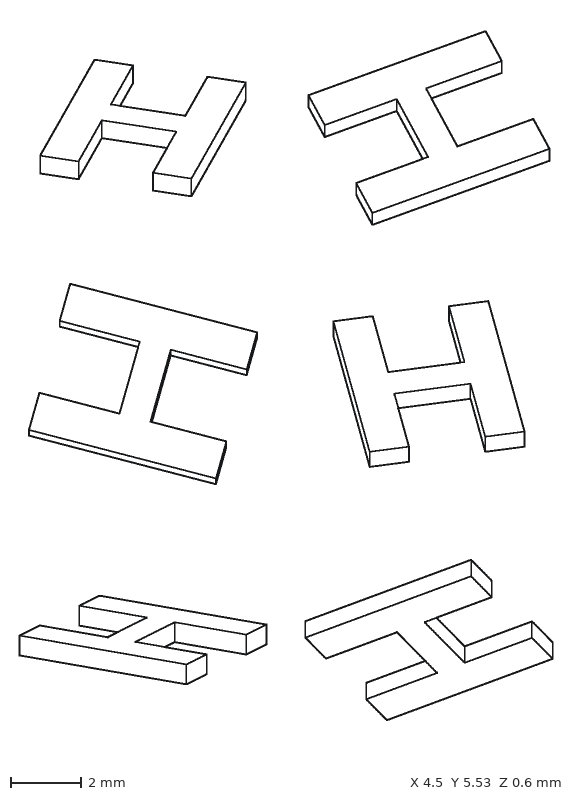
import cadquery as cq

width = 4.5
length = 5.53
thickness = 0.6

leg_width = 1.145
crossbar_width = 0.92
lower_notch_depth = 2.365

notch_width = width - 2 * leg_width
upper_notch_depth = length - lower_notch_depth - crossbar_width


def notch(depth, start_y):
    """Rectangular opening between the legs, starting at start_y and running toward +Y."""
    return cq.Workplane("XY").box(
        notch_width, depth, thickness, centered=(True, False, True)
    ).translate((0, start_y, 0))


plate = cq.Workplane("XY").box(width, length, thickness)
lower_notch = notch(lower_notch_depth, -length / 2)
upper_notch = notch(upper_notch_depth, length / 2 - upper_notch_depth)

result = plate.cut(lower_notch).cut(upper_notch)